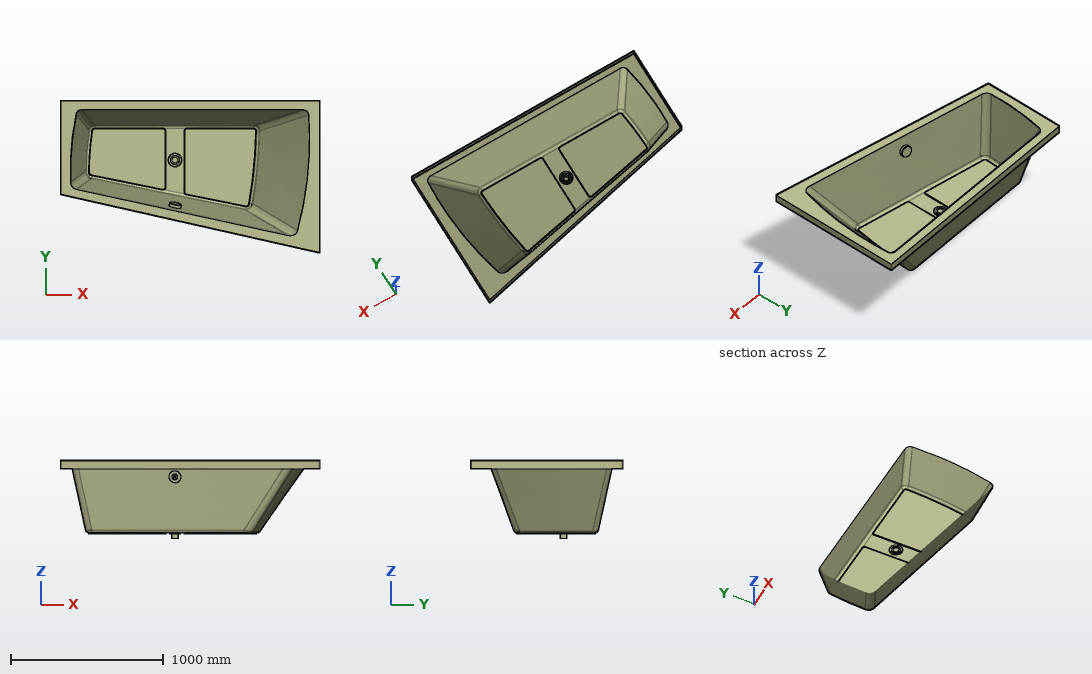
import cadquery as cq
import math


LENGTH = 1700.0
LEFT_WIDTH = 617.0
RIGHT_WIDTH = 1000.0
WALL = 5.0

RIM_HEIGHT = 58.0
RIM_CORNER_RADIUS = 7.0
RIM_EDGE_RADIUS = 2.0
MOUTH_EDGE_RADIUS = 3.0

MOUTH_BACK_LEFT = (112.0, -64.0)
MOUTH_FRONT_LEFT = (72.0, -571.0)
MOUTH_FRONT_RIGHT = (1540.0, -891.0)
MOUTH_BACK_RIGHT = (1622.0, -64.0)
MOUTH_LEFT_BULGE = 18.0
MOUTH_RIGHT_BULGE = 38.0

FLOOR_BACK_LEFT = (198.0, -169.0)
FLOOR_FRONT_LEFT = (172.0, -498.0)
FLOOR_FRONT_RIGHT = (1242.0, -714.0)
FLOOR_BACK_RIGHT = (1295.0, -169.0)
FLOOR_LEFT_BULGE = 6.0
FLOOR_RIGHT_BULGE = 12.0

FLOOR_DEPTH = 473.0
BACK_CORNER_RADIUS = 36.0
FRONT_CORNER_RADIUS = 48.0
FLOOR_FILLET = 20.0

PANEL_DEPTH = 5.0
PANEL_INSET = 17.0
PANEL_CORNER_RADIUS = 14.0
STRIP_CENTRE_X = 750.0
STRIP_WIDTH = 129.0

DRAIN_Y = -390.0
DRAIN_HOLE_DIAMETER = 60.0
DRAIN_FLANGE_DIAMETER = 90.0
DRAIN_FLANGE_HEIGHT = 4.0
DRAIN_FLANGE_CHAMFER = 3.0
DRAIN_NUT_DIAMETER = 74.0
DRAIN_NUT_HEIGHT = 5.0
DRAIN_PIPE_DIAMETER = 44.0
DRAIN_PIPE_BORE = 38.0
DRAIN_BOTTOM_Z = -513.37
PLUG_DIAMETER = 60.0
PLUG_SEAT_DEPTH = 2.0
PLUG_DOME_HEIGHT = 4.0

OVERFLOW_Z = -110.0
OVERFLOW_CAP_DIAMETER = 80.0
OVERFLOW_CAP_THICKNESS = 22.0
OVERFLOW_SEAT_DEPTH = 0.2
OVERFLOW_CAP_CHAMFER = 3.0
OVERFLOW_STUB_DIAMETER = 37.0
OVERFLOW_STUB_LENGTH = 1.0
OVERFLOW_BORE_DIAMETER = 15.0
OVERFLOW_BORE_DEPTH = 6.0

OVERFLOW_STUB_END = -WALL - OVERFLOW_STUB_LENGTH
STRIP_TOP_Z = -FLOOR_DEPTH
STRIP_BOTTOM_Z = STRIP_TOP_Z - WALL
FLANGE_TOP_Z = STRIP_TOP_Z + DRAIN_FLANGE_HEIGHT
PLUG_SEAT_Z = FLANGE_TOP_Z - PLUG_SEAT_DEPTH
PLUG_DOME_RADIUS = ((PLUG_DIAMETER / 2) ** 2 + PLUG_DOME_HEIGHT**2) / (2 * PLUG_DOME_HEIGHT)
MOUTH_OUTLINE = (
    [MOUTH_BACK_LEFT, MOUTH_FRONT_LEFT, MOUTH_FRONT_RIGHT, MOUTH_BACK_RIGHT],
    MOUTH_LEFT_BULGE,
    MOUTH_RIGHT_BULGE,
)
FLOOR_OUTLINE = (
    [FLOOR_BACK_LEFT, FLOOR_FRONT_LEFT, FLOOR_FRONT_RIGHT, FLOOR_BACK_RIGHT],
    FLOOR_LEFT_BULGE,
    FLOOR_RIGHT_BULGE,
)


def bulged_midpoint(start, end, bulge):
    """Midpoint of start-end pushed out by the bulge, to the right of the travel direction."""
    dx = end[0] - start[0]
    dy = end[1] - start[1]
    length = math.hypot(dx, dy)
    return (
        (start[0] + end[0]) / 2 + bulge * dy / length,
        (start[1] + end[1]) / 2 - bulge * dx / length,
    )


def basin_wire(outline, z, growth=0.0):
    """Four-sided outline with bowed end walls, grown outwards by the given distance."""
    corners, left_bulge, right_bulge = outline
    back_left, front_left, front_right, back_right = corners
    sketch = (
        cq.Workplane("XY", origin=(0, 0, z))
        .moveTo(*back_left)
        .threePointArc(bulged_midpoint(back_left, front_left, left_bulge), front_left)
        .lineTo(*front_right)
        .threePointArc(bulged_midpoint(front_right, back_right, right_bulge), back_right)
        .close()
    )
    return sketch.offset2D(growth, "intersection") if growth else sketch.wire()


def wall_corners(body, front):
    """Sloping edges between neighbouring walls, on the front or on the back side."""
    edges = body.edges("not(<Z or >Z)").vals()
    return [edge for edge in edges if (edge.Center().y < FLOOR_FRONT_LEFT[1]) == front]


def bowl(floor_depth, growth):
    """Tapered bowl with rounded corners and a rounded floor edge."""
    mouth = basin_wire(MOUTH_OUTLINE, 0, growth).val()
    floor = basin_wire(FLOOR_OUTLINE, -floor_depth, growth).val()
    body = cq.Workplane(cq.Solid.makeLoft([mouth, floor], True))
    body = body.newObject(wall_corners(body, False)).fillet(BACK_CORNER_RADIUS + growth)
    body = body.newObject(wall_corners(body, True)).fillet(FRONT_CORNER_RADIUS + growth)
    return body.faces("<Z").edges().fillet(FLOOR_FILLET + growth)


def floor_panels(top_z, growth):
    """Both floor panels as prisms, one on each side of the drain strip."""
    plate = basin_wire(FLOOR_OUTLINE, top_z, growth - PANEL_INSET).extrude(-PANEL_DEPTH)
    strip = cq.Workplane("XY").box(STRIP_WIDTH - 2 * growth, 2 * RIGHT_WIDTH, 2 * PANEL_DEPTH)
    plate = plate.cut(strip.translate((STRIP_CENTRE_X, 0, top_z - PANEL_DEPTH / 2)))
    return plate.edges("|Z").fillet(PANEL_CORNER_RADIUS + growth)


def rim():
    """Hollow rim: a thin top plate with a skirt around its outer edge."""
    corners = [(0, 0), (0, -LEFT_WIDTH), (LENGTH, -RIGHT_WIDTH), (LENGTH, 0)]
    outline = cq.Workplane("XY").polyline(corners).close()
    plate = outline.extrude(-RIM_HEIGHT).edges("|Z").fillet(RIM_CORNER_RADIUS)
    plate = plate.faces("<Z").shell(-WALL)
    return plate.faces(">Z").edges().fillet(RIM_EDGE_RADIUS)


def overflow_plane():
    """Plane on the inside of the front wall at the overflow, with its normal into the basin."""
    down = -OVERFLOW_Z / FLOOR_DEPTH
    mouth_left = cq.Vector(*MOUTH_FRONT_LEFT, 0)
    mouth_right = cq.Vector(*MOUTH_FRONT_RIGHT, 0)
    floor_left = cq.Vector(*FLOOR_FRONT_LEFT, -FLOOR_DEPTH)
    floor_right = cq.Vector(*FLOOR_FRONT_RIGHT, -FLOOR_DEPTH)
    left = mouth_left + (floor_left - mouth_left) * down
    right = mouth_right + (floor_right - mouth_right) * down
    along = right - left
    share = (STRIP_CENTRE_X - left.x) / along.x
    wall_top = mouth_left + (mouth_right - mouth_left) * share
    wall_foot = floor_left + (floor_right - floor_left) * share
    inward = along.cross(wall_top - wall_foot) * -1
    return cq.Plane(origin=left + along * share, xDir=along, normal=inward)


def overflow_disc(diameter, outer, inner):
    """Cylinder square to the front wall; offsets count from the wall's inside face, positive inwards."""
    start = cq.Workplane(overflow_plane()).workplane(offset=outer)
    return start.circle(diameter / 2).extrude(inner - outer)


def make_overflow_blank():
    """Overflow cap inside the basin with a solid stub that passes through the front wall."""
    cap = overflow_disc(OVERFLOW_CAP_DIAMETER, -OVERFLOW_SEAT_DEPTH, OVERFLOW_CAP_THICKNESS)
    cap = cap.faces(">Y").edges().chamfer(OVERFLOW_CAP_CHAMFER)
    return cap.union(overflow_disc(OVERFLOW_STUB_DIAMETER, OVERFLOW_STUB_END, 0))


def drain_disc(diameter, bottom_z, top_z):
    """Vertical cylinder on the drain axis."""
    start = cq.Workplane("XY", origin=(STRIP_CENTRE_X, DRAIN_Y, bottom_z))
    return start.circle(diameter / 2).extrude(top_z - bottom_z)


def make_drain():
    """Drain fitting: flange on the strip, neck through it, nut below it and outlet pipe."""
    flange = drain_disc(DRAIN_FLANGE_DIAMETER, STRIP_TOP_Z, FLANGE_TOP_Z)
    flange = flange.faces(">Z").edges().chamfer(DRAIN_FLANGE_CHAMFER)
    neck = drain_disc(DRAIN_HOLE_DIAMETER, STRIP_BOTTOM_Z, STRIP_TOP_Z)
    nut = drain_disc(DRAIN_NUT_DIAMETER, STRIP_BOTTOM_Z - DRAIN_NUT_HEIGHT, STRIP_BOTTOM_Z)
    pipe = drain_disc(DRAIN_PIPE_DIAMETER, DRAIN_BOTTOM_Z, STRIP_BOTTOM_Z)
    bore = drain_disc(DRAIN_PIPE_BORE, DRAIN_BOTTOM_Z, FLANGE_TOP_Z)
    plug_recess = drain_disc(PLUG_DIAMETER, PLUG_SEAT_Z, FLANGE_TOP_Z)
    return flange.union(neck).union(nut).union(pipe).cut(bore).cut(plug_recess)


def make_plug():
    """Domed plug that closes the drain."""
    profile = (
        cq.Workplane("XZ", origin=(STRIP_CENTRE_X, DRAIN_Y, PLUG_SEAT_Z))
        .lineTo(PLUG_DIAMETER / 2, 0)
        .lineTo(PLUG_DIAMETER / 2, PLUG_SEAT_DEPTH)
        .radiusArc((0, PLUG_SEAT_DEPTH + PLUG_DOME_HEIGHT), -PLUG_DOME_RADIUS)
        .close()
    )
    return profile.revolve(360, (0, 0), (0, 1))


def make_tub(overflow_blank):
    """Thin-walled tub with openings for the drain and the overflow."""
    outside = bowl(FLOOR_DEPTH + WALL, WALL).union(floor_panels(STRIP_BOTTOM_Z, WALL))
    inside = bowl(FLOOR_DEPTH, 0).union(floor_panels(STRIP_TOP_Z, 0))
    tub = rim().union(outside).cut(inside)
    tub = tub.faces(">Z").wires(cq.selectors.AreaNthSelector(0)).fillet(MOUTH_EDGE_RADIUS)
    tub = tub.cut(drain_disc(DRAIN_HOLE_DIAMETER, STRIP_BOTTOM_Z, STRIP_TOP_Z))
    return tub.cut(overflow_blank)


overflow_blank = make_overflow_blank()
overflow = overflow_blank.cut(
    overflow_disc(OVERFLOW_BORE_DIAMETER, OVERFLOW_STUB_END, OVERFLOW_STUB_END + OVERFLOW_BORE_DEPTH)
)
tub = make_tub(overflow_blank)
drain = make_drain()
plug = make_plug()

result = cq.Compound.makeCompound([tub.val(), overflow.val(), drain.val(), plug.val()])